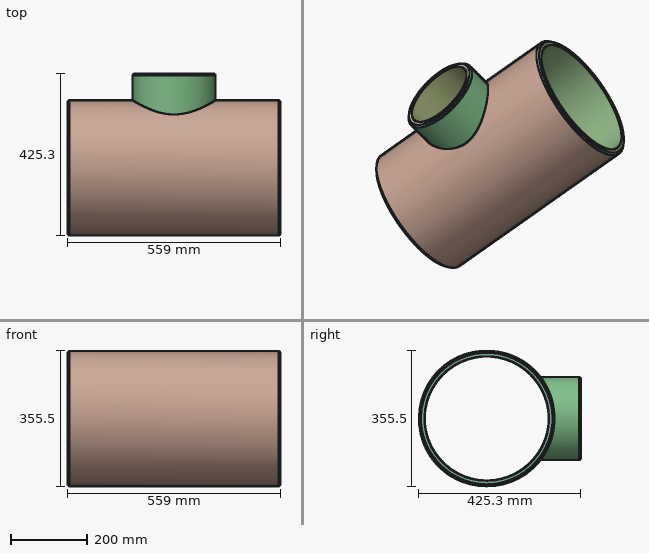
import cadquery as cq

wall = 15.0

run_length = 559.0
run_diameter = 355.5
run_bore = run_diameter - 2 * wall

branch_diameter = 218.5
branch_bore = branch_diameter - 2 * wall
branch_reach = 247.5

bevel_depth = 5.0
bevel_height = 5.0


def beveled_cylinder(diameter, length, both_ends):
    """Cylinder along +Z from the origin, beveled at its top and optionally at its base."""
    radius = diameter / 2
    end_radius = radius - bevel_height
    profile = cq.Workplane("XZ").moveTo(0, 0)
    if both_ends:
        profile = profile.lineTo(end_radius, 0).lineTo(radius, bevel_depth)
    else:
        profile = profile.lineTo(radius, 0)
    profile = profile.lineTo(radius, length - bevel_depth).lineTo(end_radius, length)
    return profile.lineTo(0, length).close().revolve(360, (0, 0, 0), (0, 1, 0))


def along_x(body):
    return body.rotate((0, 0, 0), (0, 1, 0), 90)


def along_y(body):
    return body.rotate((0, 0, 0), (1, 0, 0), -90)


run_start = (-run_length / 2, 0, 0)
run = along_x(beveled_cylinder(run_diameter, run_length, True)).translate(run_start)
branch = along_y(beveled_cylinder(branch_diameter, branch_reach, False))

run_hole = along_x(cq.Workplane("XY").circle(run_bore / 2).extrude(run_length)).translate(run_start)
branch_hole = along_y(cq.Workplane("XY").circle(branch_bore / 2).extrude(branch_reach))

result = run.union(branch).cut(run_hole).cut(branch_hole)